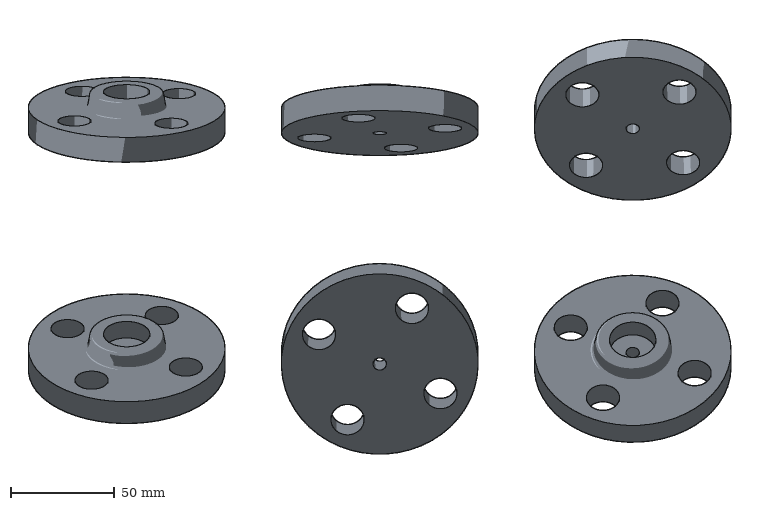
import cadquery as cq

flange_diameter = 95.2
flange_thickness = 12.7

total_height = 20.6
hub_base_radius = 19.0
hub_top_radius = 17.7
hub_rim_fillet = 1.4
hub_root_fillet = 1.4

socket_diameter = 22.4
socket_depth = 9.5
bore_diameter = 6.4

bolt_hole_count = 4
bolt_hole_diameter = 16.0
bolt_circle_radius = 33.2


def flange_with_hub():
    """Revolve the disc and its tapered hub about Z, then round the hub's rim and root."""
    profile = (
        cq.Workplane("XZ")
        .lineTo(flange_diameter / 2, 0)
        .lineTo(flange_diameter / 2, flange_thickness)
        .lineTo(hub_base_radius, flange_thickness)
        .lineTo(hub_top_radius, total_height)
        .lineTo(0, total_height)
        .close()
    )
    body = profile.revolve(360, (0, 0, 0), (0, 1, 0))
    body = body.faces(">Z").edges().fillet(hub_rim_fillet)
    return body.faces("%CONE").edges("<Z").fillet(hub_root_fillet)


def cut_socket_and_bore(body):
    """Sink the pipe socket into the hub and run the bore through its floor."""
    return (
        body.faces(">Z")
        .workplane(origin=(0, 0, total_height))
        .cboreHole(bore_diameter, socket_diameter, socket_depth)
    )


def cut_bolt_holes(body):
    """Drill the bolt holes, evenly spaced, starting on the X axis."""
    return (
        body.faces("<Z")
        .workplane(origin=(0, 0, 0))
        .polarArray(bolt_circle_radius, 0, 360, bolt_hole_count)
        .hole(bolt_hole_diameter)
    )


result = cut_bolt_holes(cut_socket_and_bore(flange_with_hub()))